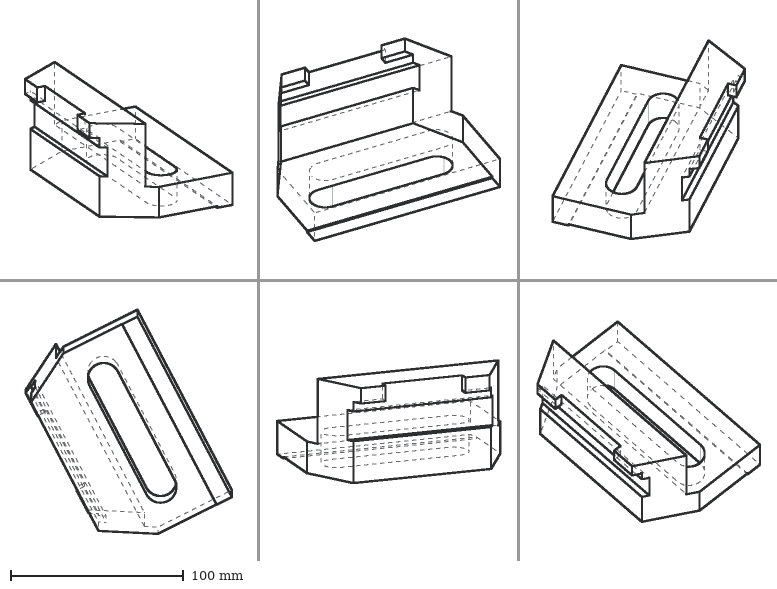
import cadquery as cq
import math

length = 120.0
depth = 83.0
height = 59.0

plate_top = 20.0
pad_depth = 10.0
pad_height = 1.0

wall_back = 55.0
jaw_face = 78.0
lip_bottom = 49.8
lip_gap_width = 49.5

groove_bottom = 26.2
groove_top = 44.0
groove_depth = 3.8

front_width = 79.8
taper_angle = 30.0
taper_depth = (length - front_width) / 2 / math.tan(math.radians(taper_angle))

slot_length = 90.6
slot_width = 18.4
slot_center = 34.2


def bracket_body():
    """Full-length extrusion of the L-shaped section with its pad, groove and lip."""
    groove_floor = jaw_face - groove_depth
    section = [
        (0, 0),
        (-pad_depth, 0),
        (-pad_depth, pad_height),
        (-jaw_face, pad_height),
        (-jaw_face, groove_bottom),
        (-groove_floor, groove_bottom),
        (-groove_floor, groove_top),
        (-jaw_face, groove_top),
        (-jaw_face, lip_bottom),
        (-depth, lip_bottom),
        (-depth, height),
        (-wall_back, height),
        (-wall_back, plate_top),
        (0, plate_top),
    ]
    return cq.Workplane("YZ").polyline(section).close().extrude(length / 2, both=True)


def tapered_outline():
    """Plan outline that narrows towards the front."""
    corner = depth - taper_depth
    outline = [
        (-length / 2, 0),
        (-length / 2, -corner),
        (-front_width / 2, -depth),
        (front_width / 2, -depth),
        (length / 2, -corner),
        (length / 2, 0),
    ]
    return cq.Workplane("XY").polyline(outline).close().extrude(height)


def lip_gap():
    """Notch that splits the lip into two end teeth."""
    return cq.Workplane("XY").box(
        lip_gap_width, depth - jaw_face, height - lip_bottom, centered=(True, False, False)
    ).translate((0, -depth, lip_bottom))


def clamping_slot():
    """Round-ended slot through the base plate."""
    return (
        cq.Workplane("XY")
        .center(0, -slot_center)
        .slot2D(slot_length, slot_width)
        .extrude(plate_top)
    )


result = bracket_body().intersect(tapered_outline()).cut(lip_gap()).cut(clamping_slot())